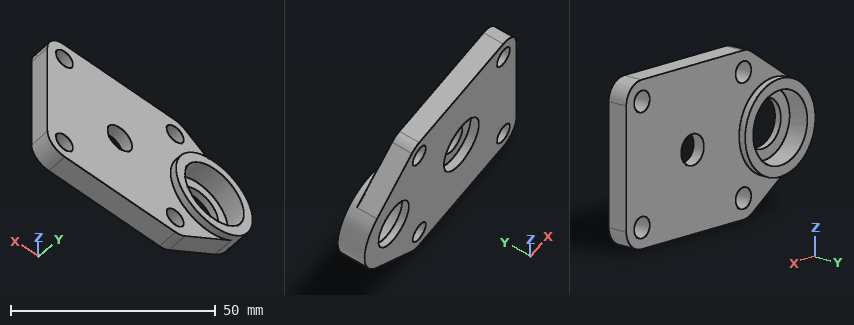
import cadquery as cq
import math

length = 65.0
height = 43.0
plate_thickness = 6.0
total_thickness = 8.0
lug_radius = 12.5
lug_bore_diameter = 13.0
lug_recess_diameter = 19.2
lug_lip_thickness = 2.0
corner_radius = 5.5
corner_hole_diameter = 5.5
corner_hole_spacing_x = 36.0
center_hole_diameter = 8.0
counterbore_diameter = 15.0
counterbore_depth = 2.5

lug_x = lug_radius
right_x = length - corner_radius
left_x = right_x - corner_hole_spacing_x
corner_z = height / 2 - corner_radius
center_x = (left_x + right_x) / 2


def point_on_circle(x, z, radius, angle):
    return (x + radius * math.cos(angle), z + radius * math.sin(angle))


def mirrored(point):
    return (point[0], -point[1])


def cylinder(x, z, diameter, depth):
    """Cylinder running from the front face toward +Y."""
    circle = cq.Workplane("XZ").center(x, z).circle(diameter / 2)
    return circle.extrude(-depth)


def plate():
    dx = left_x - lug_x
    center_angle = math.atan2(corner_z, dx)
    center_distance = math.hypot(dx, corner_z)
    normal_angle = center_angle + math.acos((lug_radius - corner_radius) / center_distance)

    lug_end = point_on_circle(lug_x, 0, lug_radius, normal_angle)
    slope_end = point_on_circle(left_x, corner_z, corner_radius, normal_angle)
    left_mid_angle = (normal_angle + math.pi / 2) / 2
    left_mid = point_on_circle(left_x, corner_z, corner_radius, left_mid_angle)
    left_top = (left_x, height / 2)
    right_top = (right_x, height / 2)
    right_mid = point_on_circle(right_x, corner_z, corner_radius, math.pi / 4)
    right_end = (length, corner_z)

    outline = (
        cq.Workplane("XZ")
        .moveTo(*lug_end)
        .lineTo(*slope_end)
        .threePointArc(left_mid, left_top)
        .lineTo(*right_top)
        .threePointArc(right_mid, right_end)
        .lineTo(*mirrored(right_end))
        .threePointArc(mirrored(right_mid), mirrored(right_top))
        .lineTo(*mirrored(left_top))
        .threePointArc(mirrored(left_mid), mirrored(slope_end))
        .lineTo(*mirrored(lug_end))
        .close()
    )
    return outline.extrude(-plate_thickness)


result = plate().union(cylinder(lug_x, 0, 2 * lug_radius, total_thickness))

result = result.cut(cylinder(lug_x, 0, lug_bore_diameter, total_thickness))
lug_recess = cylinder(lug_x, 0, lug_recess_diameter, total_thickness - lug_lip_thickness)
result = result.cut(lug_recess.translate((0, lug_lip_thickness, 0)))

result = result.cut(cylinder(center_x, 0, center_hole_diameter, plate_thickness))
result = result.cut(cylinder(center_x, 0, counterbore_diameter, counterbore_depth))

for hole_x in (left_x, right_x):
    for hole_z in (-corner_z, corner_z):
        result = result.cut(cylinder(hole_x, hole_z, corner_hole_diameter, plate_thickness))